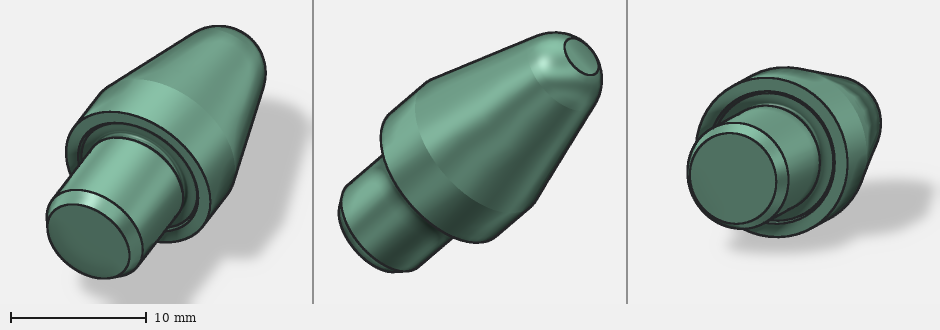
import cadquery as cq
import math

shank_length = 8.0
collar_length = 4.0
nose_length = 12.0

collar_radius = 6.0
cone_angle = math.radians(15)
dome_length = 2.18

shank_radius = 8.0 / 2
end_chamfer_length = 1.0
end_chamfer_angle = math.radians(30)

neck_radius = 7.6 / 2
neck_end = 0.3
neck_fillet = 0.3
recess_radius = 5.0
recess_depth = 0.2

tip_y = collar_length + nose_length
dome_start_y = tip_y - dome_length
dome_start_radius = collar_radius - (nose_length - dome_length) * math.tan(cone_angle)
sphere_radius = dome_start_radius / math.cos(cone_angle)
sphere_center_y = dome_start_y - sphere_radius * math.sin(cone_angle)
tip_angle = math.asin((tip_y - sphere_center_y) / sphere_radius)
tip_radius = sphere_radius * math.cos(tip_angle)
dome_mid_angle = (cone_angle + tip_angle) / 2
dome_mid = (
    sphere_radius * math.cos(dome_mid_angle),
    sphere_center_y + sphere_radius * math.sin(dome_mid_angle),
)

fillet_center_radius = neck_radius + neck_fillet
fillet_center_y = recess_depth - neck_fillet
fillet_mid = (
    fillet_center_radius - neck_fillet * math.cos(math.pi / 4),
    fillet_center_y + neck_fillet * math.sin(math.pi / 4),
)

neck_chamfer_length = shank_radius - neck_radius
recess_floor_radius = recess_radius - recess_depth
end_radius = shank_radius - end_chamfer_length * math.tan(end_chamfer_angle)

profile = (
    cq.Workplane("XY")
    .moveTo(0, -shank_length)
    .lineTo(end_radius, -shank_length)
    .lineTo(shank_radius, -shank_length + end_chamfer_length)
    .lineTo(shank_radius, -neck_end - neck_chamfer_length)
    .lineTo(neck_radius, -neck_end)
    .lineTo(neck_radius, fillet_center_y)
    .threePointArc(fillet_mid, (fillet_center_radius, recess_depth))
    .lineTo(recess_floor_radius, recess_depth)
    .lineTo(recess_radius, 0)
    .lineTo(collar_radius, 0)
    .lineTo(collar_radius, collar_length)
    .lineTo(dome_start_radius, dome_start_y)
    .threePointArc(dome_mid, (tip_radius, tip_y))
    .lineTo(0, tip_y)
    .close()
)

result = profile.revolve(360, (0, 0, 0), (0, 1, 0))